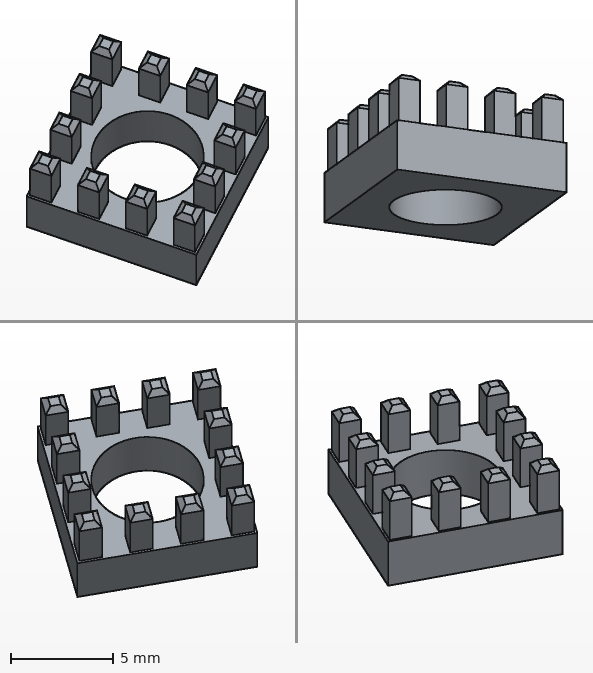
import cadquery as cq

base_side = 9.0
base_height = 2.54
hole_diameter = 5.5

total_height = 5.05
pins_per_side = 4
pin_pitch = 2.54
pin_width = 1.13

tip_height = 0.29
tip_top_width = 0.53

shank_height = total_height - base_height - tip_height


def make_base():
    """Plate resting on Z = 0, centred on the Z axis."""
    return (
        cq.Workplane("XY")
        .rect(base_side, base_side)
        .extrude(base_height)
        .faces(">Z")
        .workplane()
        .hole(hole_diameter)
    )


def make_pin(x, y):
    """Square shank on the plate's top face, with its tapered tip."""
    shank = (
        cq.Workplane("XY", origin=(x, y, base_height))
        .rect(pin_width, pin_width)
        .extrude(shank_height)
    )
    tip = (
        cq.Workplane("XY", origin=(x, y, base_height + shank_height))
        .rect(pin_width, pin_width)
        .workplane(offset=tip_height)
        .rect(tip_top_width, tip_top_width)
        .loft(ruled=True)
    )
    return shank.union(tip)


def pin_positions():
    """Outer cells of a square grid; the inner cells stay empty."""
    last = pins_per_side - 1
    first_offset = -pin_pitch * last / 2
    positions = []
    for column in range(pins_per_side):
        for row in range(pins_per_side):
            if column in (0, last) or row in (0, last):
                positions.append((first_offset + column * pin_pitch, first_offset + row * pin_pitch))
    return positions


result = make_base()
for pin_x, pin_y in pin_positions():
    result = result.union(make_pin(pin_x, pin_y))